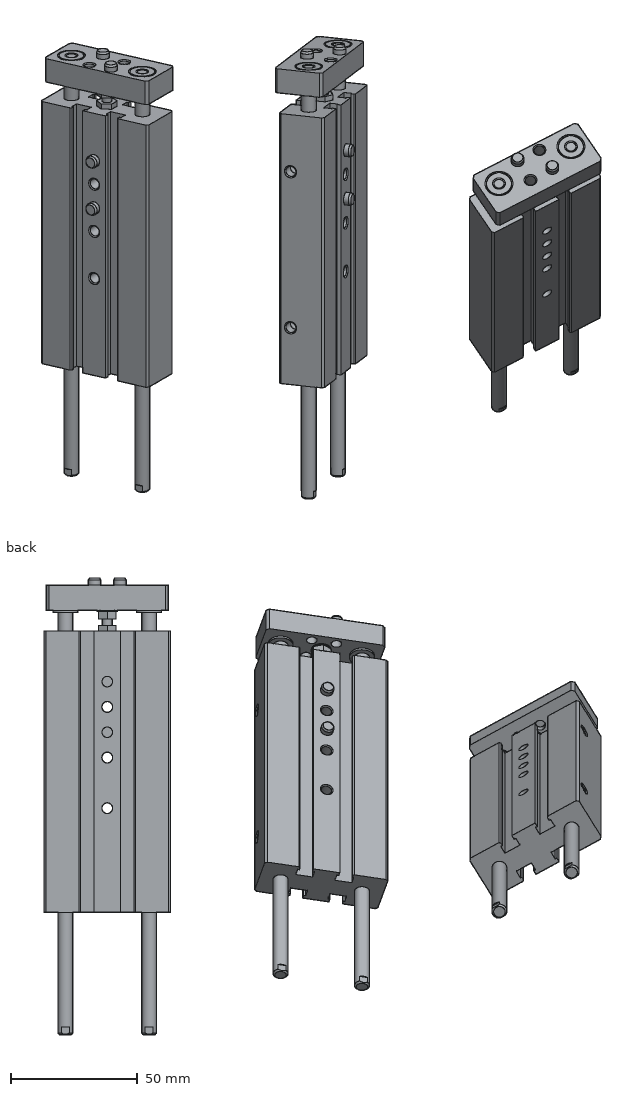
import cadquery as cq
import math


housing_width = 50.0
housing_depth = 19.0
housing_height = 111.2
housing_corner_chamfer = 0.9

centre_rib_width = 10.7
slot_mouth_outer_x = 10.7
slot_cavity_inner_x = 4.5
slot_cavity_outer_x = 11.4
slot_lip_thickness = 1.8
slot_depth = 5.0
slot_edge_chamfer = 0.5

thread_diameter = 5.0
thread_bore_diameter = 4.2
thread_chamfer = (thread_diameter - thread_bore_diameter) / 2
mount_hole_top_offset = 20.0
mount_hole_span = 50.0
mount_hole_steps = [0, 1, 2, 3, 5]
mount_screw_steps = [0, 2]
screw_embedded_length = 6.3
screw_tip_length = 0.9
screw_protrusion = 2.9

port_y = 4.5
port_end_offset = 23.5
port_depth = 5.5
port_cone_angle = 118

plate_gap = 8.1
plate_width = 48.2
plate_depth = 20.0
plate_front_setback = 1.0
plate_thickness = 10.0
plate_corner_chamfer = 1.0

rod_spacing = 33.0
rod_diameter = 6.0
rod_lower_length = 48.4
rod_end_chamfer = 0.7
rod_flat_length = 3.0
rod_across_flats = 5.0
rod_head_diameter = 10.0
rod_head_drop = 0.9
rod_seat_diameter = 11.0
rod_socket_diameter = 5.0
rod_socket_bottom_diameter = 4.0
rod_socket_depth = 0.2

bolt_diameter = 4.0
bolt_flange_diameter = 8.0
bolt_flange_thickness = 0.5
hex_across_flats = 7.0
upper_hex_drop = 3.5
lower_hex_height = 2.2

half_depth = housing_depth / 2
slot_mouth_inner_x = centre_rib_width / 2
plate_bottom = housing_height + plate_gap
plate_top = plate_bottom + plate_thickness
plate_centre_y = -half_depth + plate_front_setback + plate_depth / 2
hole_pitch = mount_hole_span / max(mount_hole_steps)
hole_offset = hole_pitch / 2
first_mount_hole_z = housing_height - mount_hole_top_offset
mount_hole_heights = [first_mount_hole_z - step * hole_pitch for step in mount_hole_steps]
mount_screw_heights = [first_mount_hole_z - step * hole_pitch for step in mount_screw_steps]
port_heights = [port_end_offset, housing_height - port_end_offset]
plate_screw_points = [(-hole_offset, hole_offset), (hole_offset, -hole_offset)]
plate_open_points = [(-hole_offset, -hole_offset), (hole_offset, hole_offset)]
rod_places = [-rod_spacing / 2, rod_spacing / 2]


def cylinder(diameter, bottom, top):
    """Upright cylinder on the Z axis between two heights."""
    return cq.Workplane("XY").workplane(offset=bottom).circle(diameter / 2).extrude(top - bottom)


def cone(bottom_diameter, top_diameter, bottom, top):
    """Upright truncated cone on the Z axis between two heights."""
    return cq.Workplane(
        cq.Solid.makeCone(bottom_diameter / 2, top_diameter / 2, top - bottom, cq.Vector(0, 0, bottom))
    )


def hexagon(bottom, top):
    """Upright hexagonal prism on the Z axis with two corners on the Y axis."""
    across_corners = hex_across_flats / math.cos(math.pi / 6)
    prism = cq.Workplane("XY").workplane(offset=bottom).polygon(6, across_corners).extrude(top - bottom)
    return prism.rotate((0, 0, 0), (0, 0, 1), 90)


def thread_mouth():
    """Countersink of a threaded hole that opens upward at the origin."""
    return cone(thread_bore_diameter, thread_diameter, -thread_chamfer, 0)


def facing_front(body):
    """Turn a body so that its +Z end points toward -Y."""
    return body.rotate((0, 0, 0), (1, 0, 0), 90)


def make_screw():
    """Screw that points up, with the surface it is sunk in at Z = 0."""
    tip_start = screw_protrusion - screw_tip_length
    shank = cylinder(thread_diameter, -screw_embedded_length, tip_start)
    tip = cone(thread_diameter, thread_bore_diameter, tip_start, screw_protrusion)
    return shank.union(tip)


def screw_seat():
    """Recess that a sunk screw fills."""
    return cylinder(thread_diameter, -screw_embedded_length, 0)


def switch_slot():
    """T-slot along Z in the front face, on the +X side, with a bevelled outer edge."""
    front = -half_depth
    lip_back = front + slot_lip_thickness
    slot_back = front + slot_depth
    return (
        cq.Workplane("XY")
        .moveTo(slot_mouth_inner_x, front)
        .lineTo(slot_mouth_inner_x, lip_back)
        .lineTo(slot_cavity_inner_x, lip_back)
        .lineTo(slot_cavity_inner_x, slot_back)
        .lineTo(slot_cavity_outer_x, slot_back)
        .lineTo(slot_cavity_outer_x, lip_back)
        .lineTo(slot_mouth_outer_x, lip_back)
        .lineTo(slot_mouth_outer_x, front + slot_edge_chamfer)
        .lineTo(slot_mouth_outer_x + slot_edge_chamfer, front)
        .close()
        .extrude(housing_height)
    )


def air_port():
    """Blind threaded port with a conical bottom, opening upward at the origin."""
    radius = thread_bore_diameter / 2
    cone_length = radius / math.tan(math.radians(port_cone_angle / 2))
    bore = cylinder(thread_bore_diameter, -port_depth, 0)
    bottom = cone(0, thread_bore_diameter, -port_depth - cone_length, -port_depth)
    return bore.union(bottom).union(thread_mouth())


def make_housing():
    body = cq.Workplane("XY").box(housing_width, housing_depth, housing_height, centered=(True, True, False))
    body = body.edges("|Z").chamfer(housing_corner_chamfer)

    right_front = switch_slot()
    front_pair = right_front.union(right_front.mirror("YZ"))
    body = body.cut(front_pair).cut(front_pair.mirror("XZ"))

    for x in rod_places:
        body = body.cut(cylinder(rod_diameter, 0, housing_height).translate((x, 0, 0)))

    through_bore = cylinder(thread_bore_diameter, -housing_depth, 0)
    mount_hole = facing_front(through_bore.union(thread_mouth()))
    for z in mount_hole_heights:
        body = body.cut(mount_hole.translate((0, -half_depth, z)))
    for z in mount_screw_heights:
        body = body.cut(facing_front(screw_seat()).translate((0, -half_depth, z)))

    port = air_port().rotate((0, 0, 0), (0, 1, 0), -90)
    for z in port_heights:
        body = body.cut(port.translate((-housing_width / 2, port_y, z)))
    return body


def make_stopper_bolt():
    """Nut under the end plate and a bolt whose hex head rests on the housing."""
    flange = cylinder(bolt_flange_diameter, plate_bottom - bolt_flange_thickness, plate_bottom)
    nut = hexagon(plate_bottom - upper_hex_drop, plate_bottom)
    shank = cylinder(bolt_diameter, housing_height, plate_bottom)
    head = hexagon(housing_height, housing_height + lower_hex_height)
    return flange.union(nut).union(shank).union(head)


def make_end_plate():
    """End plate in one piece with the stopper bolt."""
    plate = cq.Workplane("XY").box(plate_width, plate_depth, plate_thickness, centered=(True, True, False))
    plate = plate.edges("|Z").chamfer(plate_corner_chamfer)
    plate = plate.translate((0, plate_centre_y, plate_bottom))

    bevel = (rod_seat_diameter - rod_head_diameter) / 2
    rod_seat = cylinder(rod_head_diameter, plate_bottom, plate_top)
    rod_seat = rod_seat.union(cone(rod_head_diameter, rod_seat_diameter, plate_top - bevel, plate_top))
    for x in rod_places:
        plate = plate.cut(rod_seat.translate((x, 0, 0)))

    threaded_hole = cylinder(thread_bore_diameter, -plate_thickness, 0)
    open_hole = threaded_hole.union(thread_mouth())
    filled_hole = threaded_hole.union(screw_seat())
    for x, y in plate_open_points:
        plate = plate.cut(open_hole.translate((x, y, plate_top)))
    for x, y in plate_screw_points:
        plate = plate.cut(filled_hole.translate((x, y, plate_top)))
    return plate.union(make_stopper_bolt())


def make_guide_rod():
    """Guide rod on the Z axis with a head in the end plate and two flats at the lower end."""
    bottom = -rod_lower_length
    rod = cylinder(rod_diameter, bottom, plate_bottom).faces("<Z").chamfer(rod_end_chamfer)

    end_block = cq.Workplane("XY").box(rod_diameter, rod_diameter, rod_flat_length, centered=(True, True, False))
    kept_block = cq.Workplane("XY").box(
        rod_diameter, rod_across_flats, rod_flat_length, centered=(True, True, False)
    )
    rod = rod.cut(end_block.cut(kept_block).translate((0, 0, bottom)))

    head = cylinder(rod_head_diameter, plate_bottom - rod_head_drop, plate_top)
    socket = cone(rod_socket_bottom_diameter, rod_socket_diameter, plate_top - rod_socket_depth, plate_top)
    return rod.union(head).cut(socket)


housing = make_housing()
end_plate = make_end_plate()
guide_rods = [make_guide_rod().translate((x, 0, 0)) for x in rod_places]
plate_screws = [make_screw().translate((x, y, plate_top)) for x, y in plate_screw_points]
mount_screws = [facing_front(make_screw()).translate((0, -half_depth, z)) for z in mount_screw_heights]

result = cq.Compound.makeCompound(
    [
        housing.val(),
        end_plate.val(),
        *[rod.val() for rod in guide_rods],
        *[plate_screw.val() for plate_screw in plate_screws],
        *[mount_screw.val() for mount_screw in mount_screws],
    ]
)